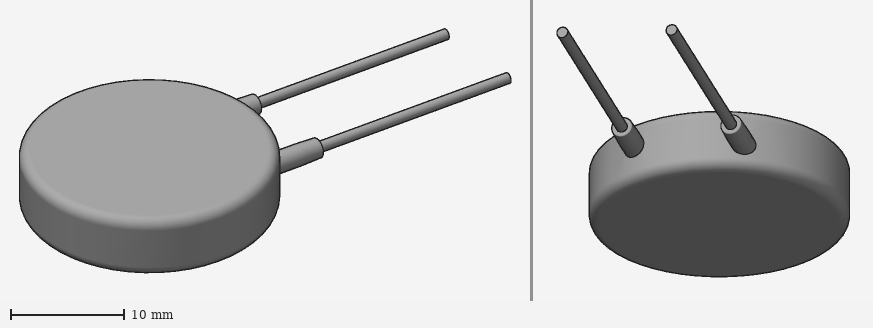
import cadquery as cq

disc_diameter = 23.0
disc_height = 5.9
edge_radius = 0.95

lead_spacing = 10.0
lead_height_step = 1.0
wire_diameter = 1.0
wire_end = 34.5

sleeve_diameter = 2.02
sleeve_projection = 3.0
sleeve_end = disc_diameter / 2 + sleeve_projection
sleeve_tip_diameter = 1.9
sleeve_tip_radius = 0.1
taper_length = 2.1
taper_start = sleeve_end - taper_length
root_depth = 4.6
root_start = disc_diameter / 2 - root_depth


def section_plane(x, y, z):
    """Workplane facing +Y, centred on a lead."""
    return cq.Workplane(cq.Plane(origin=(x, y, z), xDir=(1, 0, 0), normal=(0, 1, 0)))


def rod(x, z, diameter, start, end):
    """Round rod along +Y between two distances from the disc axis."""
    return section_plane(x, start, z).circle(diameter / 2).extrude(end - start)


def sleeve_tip(x, z):
    """Slightly tapered outer end of a sleeve, with a rounded rim."""
    base = section_plane(x, taper_start, z).circle(sleeve_diameter / 2)
    tip = base.workplane(offset=taper_length).circle(sleeve_tip_diameter / 2).loft()
    return tip.faces(">Y").edges().fillet(sleeve_tip_radius)


def lead(side):
    """Sleeve and wire; the -X lead sits low and the +X lead sits high."""
    x = side * lead_spacing / 2
    z = side * lead_height_step / 2
    sleeve = rod(x, z, sleeve_diameter, root_start, taper_start)
    wire = rod(x, z, wire_diameter, root_start, wire_end)
    return sleeve.union(sleeve_tip(x, z)).union(wire)


disc = cq.Workplane("XY").cylinder(disc_height, disc_diameter / 2)
disc = disc.edges("%CIRCLE").fillet(edge_radius)

result = disc
for side in (-1, 1):
    result = result.union(lead(side))